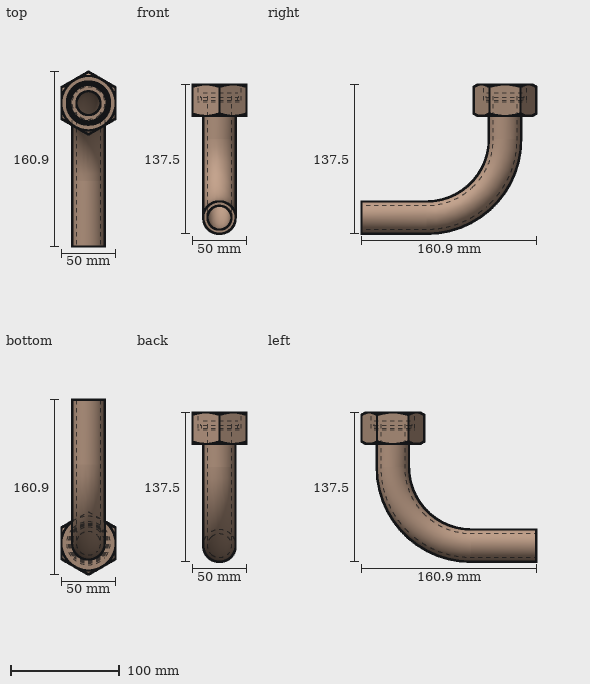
import cadquery as cq
import math

tube_outer_diameter = 30.0
tube_bore_diameter = 22.0
bend_radius = 72.0
outlet_length = 60.0
inlet_length = 50.5

nut_across_flats = 50.0
nut_height = 29.0
hexagon_sides = 6
hexagon_half_angle = 180 / hexagon_sides
nut_corner_diameter = nut_across_flats / math.cos(math.radians(hexagon_half_angle))
nut_face_diameter = nut_across_flats
nut_chamfer_angle = 30.0
nut_bore_diameter = 39.84

cone_top_depth = 8.0
cone_base_depth = 16.0
cone_top_diameter = 33.5
cone_half_angle = 12.0
seal_groove_top_depth = 12.2
seal_groove_width = 2.4
seal_groove_floor_diameter = 33.0

cone_height = cone_base_depth - cone_top_depth
cone_base_diameter = cone_top_diameter + 2 * cone_height * math.tan(math.radians(cone_half_angle))
nut_top = bend_radius + inlet_length
nut_bottom = nut_top - nut_height
cone_top = nut_top - cone_top_depth


def rod_along_centre_line(diameter, top):
    """Solid rod of the given diameter along the tube's centre line, starting at height top."""
    centre_line = (
        cq.Workplane("YZ")
        .moveTo(0, top)
        .lineTo(0, bend_radius)
        .radiusArc((-bend_radius, 0), bend_radius)
        .lineTo(-bend_radius - outlet_length, 0)
    )
    return cq.Workplane("XY", origin=(0, 0, top)).circle(diameter / 2).sweep(centre_line)


def chamfered_hexagon():
    """Hexagonal prism with corners turned down conically at both ends."""
    hexagon = (
        cq.Workplane("XY", origin=(0, 0, nut_bottom))
        .polygon(hexagon_sides, nut_corner_diameter)
        .extrude(nut_height)
        .rotate((0, 0, 0), (0, 0, 1), hexagon_half_angle)
    )
    corner_radius = nut_corner_diameter / 2
    face_radius = nut_face_diameter / 2
    chamfer_drop = (corner_radius - face_radius) * math.tan(math.radians(nut_chamfer_angle))
    envelope = (
        cq.Workplane("XZ")
        .moveTo(0, nut_bottom)
        .lineTo(face_radius, nut_bottom)
        .lineTo(corner_radius, nut_bottom + chamfer_drop)
        .lineTo(corner_radius, nut_top - chamfer_drop)
        .lineTo(face_radius, nut_top)
        .lineTo(0, nut_top)
        .close()
        .revolve(360, (0, 0, 0), (0, 1, 0))
    )
    return hexagon.intersect(envelope)


def nut_socket():
    """Bore of the nut, open at the top and ending at the base of the cone."""
    return (
        cq.Workplane("XY", origin=(0, 0, nut_top - cone_base_depth))
        .circle(nut_bore_diameter / 2)
        .extrude(cone_base_depth)
    )


def sealing_cone():
    """Truncated cone standing on the floor of the nut bore, with a groove round it for an O-ring."""
    cone = (
        cq.Workplane("XY", origin=(0, 0, nut_top - cone_base_depth))
        .circle(cone_base_diameter / 2)
        .workplane(offset=cone_height)
        .circle(cone_top_diameter / 2)
        .loft()
    )
    groove = (
        cq.Workplane("XY", origin=(0, 0, nut_top - seal_groove_top_depth))
        .circle(nut_bore_diameter / 2)
        .circle(seal_groove_floor_diameter / 2)
        .extrude(-seal_groove_width)
    )
    return cone.cut(groove)


nut = chamfered_hexagon().cut(nut_socket()).union(sealing_cone())
tube = rod_along_centre_line(tube_outer_diameter, nut_bottom)
bore = rod_along_centre_line(tube_bore_diameter, cone_top)

result = nut.union(tube).cut(bore)